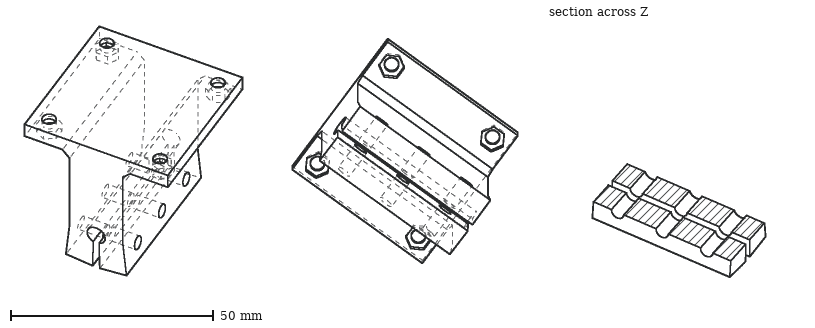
import cadquery as cq
import math

plate_side = 40.0
plate_thickness = 4.0
screw_diameter = 3.5
screw_pitch = 31.0
nut_across_flats = 5.5
nut_pocket_depth = 2.4

stem_half_width = 7.5
gusset = 2.0
overall_height = 39.75

bore_diameter = 5.0
bore_depth = 29.0
jaw_half_width = 8.5
jaw_outer_depth = 39.0
slot_half_width_top = 0.75
slot_half_width_bottom = 0.95

cross_diameter = 3.5
cross_depth = 33.9
cross_pitch = 12.95


def extrude_along_y(profile):
    """Extrude an XZ profile over the full width, centred on Y = 0."""
    return profile.extrude(plate_side / 2, both=True)


def make_plate():
    plate = cq.Workplane("XY").box(
        plate_side, plate_side, plate_thickness, centered=(True, True, False)
    )
    plate = (
        plate.faces(">Z").workplane()
        .rect(screw_pitch, screw_pitch, forConstruction=True)
        .vertices().hole(screw_diameter)
    )
    return plate.translate((0, 0, -plate_thickness))


def make_nut_pockets():
    """Hexagonal pockets in the underside, turned 90 degrees from one corner to the next."""
    nut_across_corners = nut_across_flats / math.cos(math.radians(30))
    pocket = (
        cq.Workplane("XY", origin=(0, 0, -plate_thickness))
        .transformed(rotate=(0, 0, 30))
        .polygon(6, nut_across_corners)
        .extrude(nut_pocket_depth)
        .translate((screw_pitch / 2, screw_pitch / 2, 0))
    )
    pockets = cq.Workplane("XY")
    for angle in (0, 90, 180, 270):
        pockets = pockets.add(pocket.rotate((0, 0, 0), (0, 0, 1), angle))
    return pockets.combine()


def make_stem():
    right_side = [
        (stem_half_width + gusset, -plate_thickness),
        (stem_half_width, -plate_thickness - gusset),
        (stem_half_width, -bore_depth),
        (jaw_half_width, -jaw_outer_depth),
        (slot_half_width_bottom, -overall_height),
    ]
    left_side = [(-x, z) for x, z in reversed(right_side)]
    return extrude_along_y(cq.Workplane("XZ").polyline(right_side + left_side).close())


def make_clamp_opening():
    bore = extrude_along_y(
        cq.Workplane("XZ").center(0, -bore_depth).circle(bore_diameter / 2)
    )
    slot = extrude_along_y(
        cq.Workplane("XZ").polyline([
            (-slot_half_width_top, -bore_depth),
            (slot_half_width_top, -bore_depth),
            (slot_half_width_bottom, -overall_height),
            (-slot_half_width_bottom, -overall_height),
        ]).close()
    )
    return bore.union(slot)


def make_cross_holes():
    return (
        cq.Workplane("YZ").center(0, -cross_depth)
        .rarray(cross_pitch, 0.4, 3, 1)
        .circle(cross_diameter / 2)
        .extrude(jaw_half_width, both=True)
    )


stem = make_stem().cut(make_clamp_opening()).cut(make_cross_holes())
result = make_plate().cut(make_nut_pockets()).union(stem)